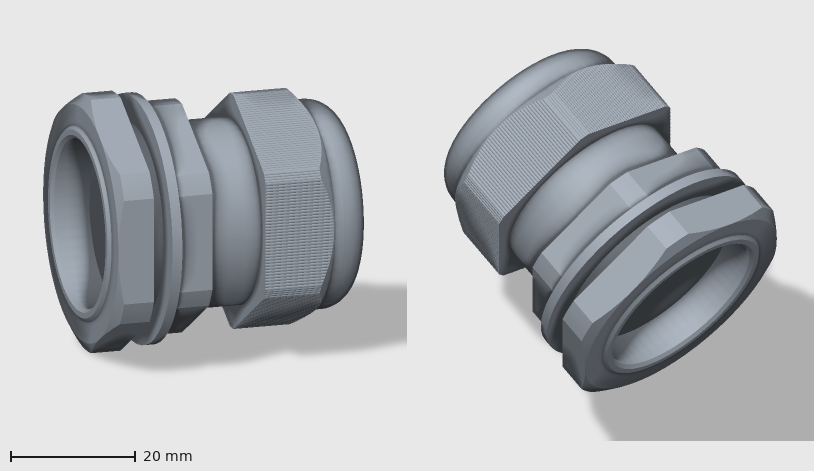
import cadquery as cq
import math


nut_front = 0.55
nut_back = 6.5
flange_front = 9.35
flange_back = 11.0
body_hex_back = 17.05
cap_front = 26.0
cap_knurl_end = 37.95
dome_start = 39.42
total_length = 44.0

thread_dia = 31.7
thread_tip_dia = 30.5
flange_dia = 40.6
sleeve_dia = 30.35
cap_dia = 33.9
dome_radius = total_length - dome_start
bore_dia = 27.6
bore_chamfer = 0.55
bore_depth = nut_back

nut_across_flats = 38.65
nut_corner_dia = 42.3
nut_chamfer_length = 0.95
body_across_flats = 34.65
body_corner_dia = 38.15
cap_across_flats = 34.6
cap_corner_dia = 38.95

ribs_per_flat = 36
ribs_per_corner = 4
rib_height = 0.1


def cross_section(y):
    """Workplane square to the gland axis that extrudes toward +Y."""
    return cq.Workplane(cq.Plane(origin=(0, y, 0), xDir=(1, 0, 0), normal=(0, 1, 0)))


def hex_points(across_flats, corner_dia):
    """Ends of the six flats, in order around the hexagon; even-numbered points start a flat."""
    radius = corner_dia / 2
    half_angle = math.acos(across_flats / corner_dia)
    points = []
    for face in range(6):
        face_angle = face * math.pi / 3
        for angle in (face_angle - half_angle, face_angle + half_angle):
            points.append((radius * math.cos(angle), radius * math.sin(angle)))
    return points


def hex_prism(across_flats, corner_dia, start, end):
    """Hexagonal prism about the Y axis with rounded corners."""
    sharp_dia = across_flats / math.cos(math.pi / 6)
    length = end - start
    hexagon = cross_section(start).transformed(rotate=(0, 0, 30)).polygon(6, sharp_dia).extrude(length)
    return hexagon.intersect(cross_section(start).circle(corner_dia / 2).extrude(length))


def round_core():
    """Thread, flange, sleeve, cap skirt and dome as one solid of revolution."""
    thread_r = thread_dia / 2
    tip_r = thread_tip_dia / 2
    flange_r = flange_dia / 2
    sleeve_r = sleeve_dia / 2
    cap_r = cap_dia / 2
    arc_offset = dome_radius * math.sin(math.pi / 4)
    dome_middle = (cap_r - dome_radius + arc_offset, dome_start + arc_offset)
    return (
        cq.Workplane("XY")
        .lineTo(tip_r, 0)
        .lineTo(thread_r, nut_front)
        .lineTo(thread_r, flange_front)
        .lineTo(flange_r, flange_front)
        .lineTo(flange_r, flange_back)
        .lineTo(sleeve_r, flange_back)
        .lineTo(sleeve_r, cap_front)
        .lineTo(cap_r, cap_front)
        .lineTo(cap_r, dome_start)
        .threePointArc(dome_middle, (cap_r - dome_radius, total_length))
        .lineTo(0, total_length)
        .close()
        .revolve(360, (0, 0, 0), (0, 1, 0))
    )


def entry_bore():
    """Blind bore with a chamfered mouth."""
    bore_r = bore_dia / 2
    return (
        cq.Workplane("XY")
        .lineTo(bore_r + bore_chamfer, 0)
        .lineTo(bore_r, bore_chamfer)
        .lineTo(bore_r, bore_depth)
        .lineTo(0, bore_depth)
        .close()
        .revolve(360, (0, 0, 0), (0, 1, 0))
    )


def locknut():
    """Hexagon nut whose front corners are turned down to the inscribed circle."""
    front_r = nut_across_flats / 2
    corner_r = nut_corner_dia / 2
    slope = (corner_r - front_r) / nut_chamfer_length
    back_r = front_r + slope * (nut_back - nut_front)
    cone = (
        cq.Workplane("XY")
        .moveTo(0, nut_front)
        .lineTo(front_r, nut_front)
        .lineTo(back_r, nut_back)
        .lineTo(0, nut_back)
        .close()
        .revolve(360, (0, 0, 0), (0, 1, 0))
    )
    return hex_prism(nut_across_flats, nut_corner_dia, nut_front, nut_back).intersect(cone)


def knurled_cap():
    """Ribbed hexagon whose rear corners are turned down at 45 degrees to the round cap."""
    inset = 2 * rib_height
    points = hex_points(cap_across_flats - inset, cap_corner_dia - inset)
    outline = cross_section(cap_front).moveTo(*points[0])
    for index, (x0, y0) in enumerate(points):
        x1, y1 = points[(index + 1) % len(points)]
        ribs = ribs_per_flat if index % 2 == 0 else ribs_per_corner
        edge = math.hypot(x1 - x0, y1 - y0)
        out_x = (y1 - y0) / edge * rib_height
        out_y = (x0 - x1) / edge * rib_height
        for rib in range(ribs):
            middle = (rib + 0.5) / ribs
            end = (rib + 1) / ribs
            crown = (x0 + (x1 - x0) * middle + out_x, y0 + (y1 - y0) * middle + out_y)
            groove = (x0 + (x1 - x0) * end, y0 + (y1 - y0) * end)
            outline = outline.threePointArc(crown, groove)
    prism = outline.close().extrude(cap_knurl_end - cap_front)

    rear_r = cap_dia / 2
    front_r = rear_r + cap_knurl_end - cap_front
    cone = (
        cq.Workplane("XY")
        .moveTo(0, cap_front)
        .lineTo(front_r, cap_front)
        .lineTo(rear_r, cap_knurl_end)
        .lineTo(0, cap_knurl_end)
        .close()
        .revolve(360, (0, 0, 0), (0, 1, 0))
    )
    return prism.intersect(cone)


body_hex = hex_prism(body_across_flats, body_corner_dia, flange_back, body_hex_back)
result = round_core().union(body_hex).union(locknut()).union(knurled_cap()).cut(entry_bore())